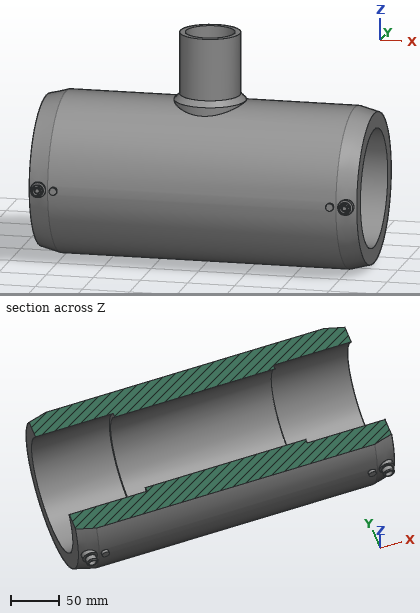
import cadquery as cq

length = 347.5
body_radius = 170.0 / 2
end_radius = 79.5
taper_length = 21.0
bore_radius = 117.5 / 2
socket_radius = 125.0 / 2
socket_depth = 85.5

branch_top = 242.0 - body_radius
branch_radius = 63.2 / 2
branch_bore_radius = 51.5 / 2
collar_radius = 37.5
collar_shoulder = 85.5
collar_top = 91.5

terminal_inset = 10.8
terminal_tip = 178.3 - body_radius
flange_radius = 16.0 / 2
flange_face = 86.0
neck_radius = 5.5
neck_end = 87.0
shroud_radius = 12.0 / 2
shroud_chamfer = 1.0
shroud_bore_radius = 8.0 / 2
shroud_bore_depth = 6.3
contact_radius = 5.0 / 2
contact_recess = 3.5
indicator_inset = 27.0
indicator_radius = 8.0 / 2
indicator_height = 3.0

root_radius = (socket_radius + end_radius) / 2


def make_sleeve():
    """Tapered-end tube with a wider socket bore at each end."""
    half = length / 2
    taper_start = half - taper_length
    socket_end = half - socket_depth
    return (
        cq.Workplane("XY")
        .moveTo(-half, socket_radius)
        .lineTo(-half, end_radius)
        .lineTo(-taper_start, body_radius)
        .lineTo(taper_start, body_radius)
        .lineTo(half, end_radius)
        .lineTo(half, socket_radius)
        .lineTo(socket_end, socket_radius)
        .lineTo(socket_end, bore_radius)
        .lineTo(-socket_end, bore_radius)
        .lineTo(-socket_end, socket_radius)
        .close()
        .revolve(360, (0, 0, 0), (1, 0, 0))
    )


def make_branch():
    """Branch pipe with a conical collar where it meets the sleeve."""
    return (
        cq.Workplane("XZ")
        .moveTo(0, root_radius)
        .lineTo(collar_radius, root_radius)
        .lineTo(collar_radius, collar_shoulder)
        .lineTo(branch_radius, collar_top)
        .lineTo(branch_radius, branch_top)
        .lineTo(0, branch_top)
        .close()
        .revolve(360, (0, 0, 0), (0, 1, 0))
    )


def rod(x, radius, start, end):
    """Round rod pointing along -Y between two distances from the sleeve axis."""
    return cq.Workplane("XZ", origin=(x, -start, 0)).circle(radius).extrude(end - start)


def make_terminal(x):
    """Hollow shroud on a flange and a slightly narrower neck, with a contact pin inside."""
    flange = rod(x, flange_radius, root_radius, flange_face)
    neck = rod(x, neck_radius, root_radius, neck_end)
    shroud = rod(x, shroud_radius, neck_end, terminal_tip).faces("<Y").chamfer(shroud_chamfer)
    bore = rod(x, shroud_bore_radius, terminal_tip - shroud_bore_depth, terminal_tip)
    contact = rod(x, contact_radius, root_radius, terminal_tip - contact_recess)
    return flange.union(neck).union(shroud).cut(bore).union(contact)


result = make_sleeve().union(make_branch())
branch_bore = cq.Workplane("XY").circle(branch_bore_radius).extrude(branch_top)
result = result.cut(branch_bore)

for side in (-1, 1):
    terminal_x = side * (length / 2 - terminal_inset)
    indicator_x = side * (length / 2 - indicator_inset)
    indicator = rod(indicator_x, indicator_radius, root_radius, body_radius + indicator_height)
    result = result.union(make_terminal(terminal_x)).union(indicator)